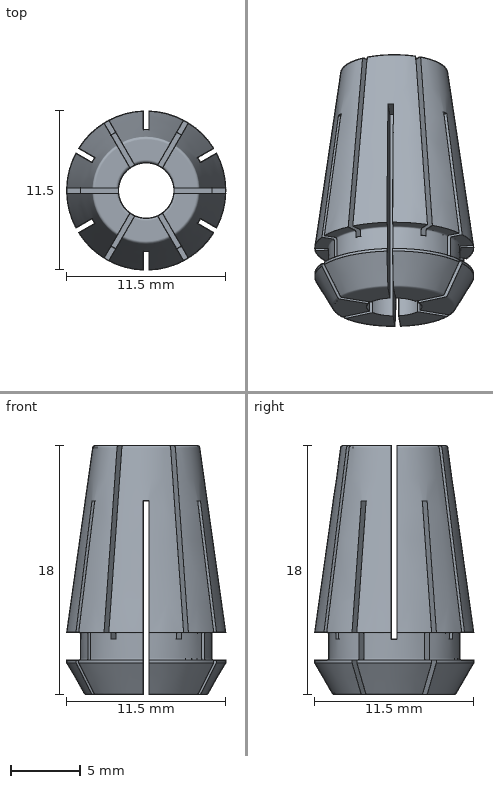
import cadquery as cq
import math

length = 18.0
max_radius = 11.5 / 2
bore_radius = 4.0 / 2

cone_base_z = 4.5
cone_half_angle = math.radians(8)
cone_top_radius = max_radius - (length - cone_base_z) * math.tan(cone_half_angle)
end_fillet = 0.2

groove_base_z = 2.5
groove_radius = 9.5 / 2
groove_fillet = 0.1

rim_height = 0.2
nose_half_angle = math.radians(30)
rim_base_z = groove_base_z - rim_height
nose_radius = max_radius - rim_base_z * math.tan(nose_half_angle)

slot_width = 0.4
slots_per_end = 6
slot_pitch = 360 / slots_per_end
upper_slot_floor_z = 4.0
lower_slot_ceiling_z = 14.0

edge_tolerance = 0.01


def disc_box(radius, height):
    """Selector for the edges lying within a radius of the axis at one height."""
    return cq.selectors.BoxSelector(
        (-radius, -radius, height - edge_tolerance),
        (radius, radius, height + edge_tolerance),
        boundingbox=True,
    )


def circle_edge(radius, height):
    """Selector for the circular edge of one radius at one height."""
    return disc_box(radius + edge_tolerance, height) - disc_box(radius - edge_tolerance, height)


def make_body():
    """Turned collet blank with its bore and rounded edges."""
    profile = [
        (bore_radius, 0),
        (nose_radius, 0),
        (max_radius, rim_base_z),
        (max_radius, groove_base_z),
        (groove_radius, groove_base_z),
        (groove_radius, cone_base_z),
        (max_radius, cone_base_z),
        (cone_top_radius, length),
        (bore_radius, length),
    ]
    body = cq.Workplane("XZ").polyline(profile).close().revolve(360, (0, 0), (0, 1))
    body = body.edges(circle_edge(groove_radius, groove_base_z)).fillet(groove_fillet)
    body = body.edges(circle_edge(groove_radius, cone_base_z)).fillet(groove_fillet)
    body = body.edges(circle_edge(nose_radius, 0)).fillet(end_fillet)
    body = body.edges(circle_edge(cone_top_radius, length)).fillet(end_fillet)
    return body.edges(circle_edge(bore_radius, length)).fillet(end_fillet)


def cut_slots(body, bottom_z, top_z, first_angle):
    """Cut a ring of radial slots through the wall between two heights."""
    slot_length = 3 * max_radius
    slot = cq.Workplane("XY").workplane(offset=bottom_z).rect(slot_length, slot_width)
    slot = slot.extrude(top_z - bottom_z)
    for index in range(slots_per_end // 2):
        angle = first_angle + index * slot_pitch
        body = body.cut(slot.rotate((0, 0, 0), (0, 0, 1), angle))
    return body


result = make_body()
result = cut_slots(result, upper_slot_floor_z, length, 0)
result = cut_slots(result, 0, lower_slot_ceiling_z, slot_pitch / 2)